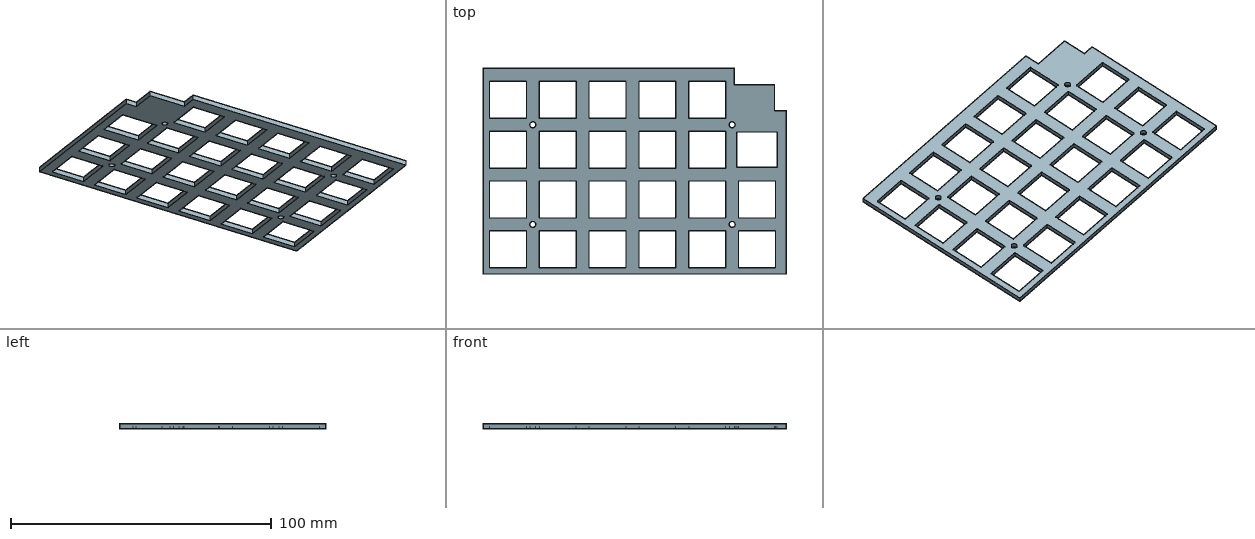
import cadquery as cq

plate_length = 116.3
plate_width = 79.0
plate_thickness = 2.0

upper_step_x = 96.3
upper_step_depth = 6.3
lower_step_x = 111.8
lower_step_depth = 16.3

columns = 6
rows = 4
key_size = 14.1
first_key_center = 9.5
column_span = 95.5
key_pitch = column_span / (columns - 1)

wide_opening_length = 15.5
wide_opening_width = 13.4
wide_opening_column = columns - 1
wide_opening_row = rows - 2

screw_hole_diameter = 2.2
screw_hole_columns = (0.5, 4.5)
screw_hole_rows = (0.5, 2.5)


def grid_point(column, row):
    """Position on the key grid, counted from the lower left key."""
    return (first_key_center + column * key_pitch, first_key_center + row * key_pitch)


def stepped_plate():
    outline = [
        (0, 0),
        (plate_length, 0),
        (plate_length, plate_width - lower_step_depth),
        (lower_step_x, plate_width - lower_step_depth),
        (lower_step_x, plate_width - upper_step_depth),
        (upper_step_x, plate_width - upper_step_depth),
        (upper_step_x, plate_width),
        (0, plate_width),
    ]
    return cq.Workplane("XY").polyline(outline).close().extrude(plate_thickness)


def key_openings():
    centers = []
    for column in range(columns):
        for row in range(rows):
            in_shortened_column = column == wide_opening_column and row >= wide_opening_row
            if not in_shortened_column:
                centers.append(grid_point(column, row))
    return cq.Workplane("XY").pushPoints(centers).rect(key_size, key_size).extrude(plate_thickness)


def wide_opening():
    center = grid_point(wide_opening_column, wide_opening_row)
    outline = cq.Workplane("XY").center(*center).rect(wide_opening_length, wide_opening_width)
    return outline.extrude(plate_thickness)


def screw_holes():
    centers = [grid_point(column, row) for column in screw_hole_columns for row in screw_hole_rows]
    return cq.Workplane("XY").pushPoints(centers).circle(screw_hole_diameter / 2).extrude(plate_thickness)


result = stepped_plate().cut(key_openings()).cut(wide_opening()).cut(screw_holes())